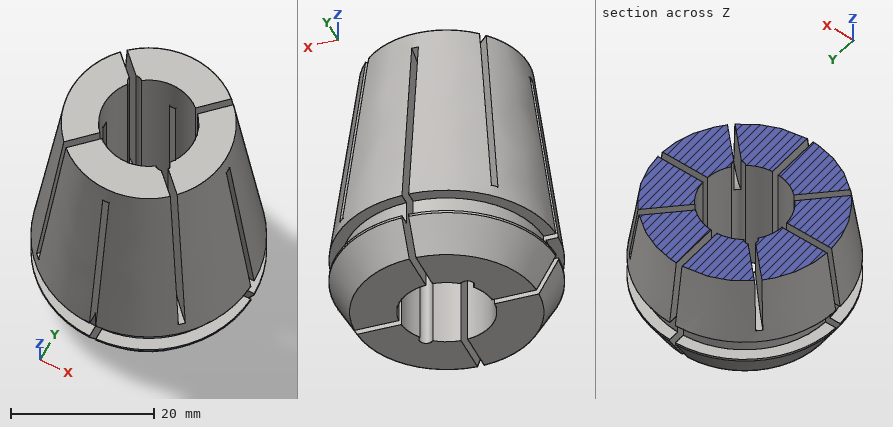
import cadquery as cq
import math

height = 40.0
max_diameter = 33.0
max_radius = max_diameter / 2
top_radius = 12.25
bottom_radius = 13.6
bore_radius = 7.0

groove_radius = 14.7
groove_bottom = 5.5
groove_top = 9.05
lip_bottom = 5.15

slot_width = 1.0
saw_radius = 13.2
saw_center_radius = 16.4
lower_slot_end = 37.8
upper_slot_end = 11.05
slot_inner_radius = 4.0
overrun = 2.0

notch_radius = 1.0
notch_center_radius = bore_radius
notch_angles = (135, 315)

quarter_turns = (0, 90, 180, 270)


def make_body():
    outline = [
        (bore_radius, 0),
        (bottom_radius, 0),
        (max_radius, lip_bottom),
        (max_radius, groove_bottom),
        (groove_radius, groove_bottom),
        (groove_radius, groove_top),
        (max_radius, groove_top),
        (top_radius, height),
        (bore_radius, height),
    ]
    return cq.Workplane("XZ").polyline(outline).close().revolve(360, (0, 0, 0), (0, 1, 0))


def make_slot(open_z, end_z, angle):
    """Radial slot open at open_z, ending in a saw arc tangent to end_z."""
    toward_opening = math.copysign(1, open_z - end_z)

    def arc_point(radius):
        rise = saw_radius - math.sqrt(saw_radius**2 - (saw_center_radius - radius) ** 2)
        return (radius, end_z + toward_opening * rise)

    arc_middle_radius = (slot_inner_radius + saw_center_radius) / 2
    outer = max_radius + overrun
    mouth_z = open_z + toward_opening * overrun
    slot = (
        cq.Workplane("XZ")
        .moveTo(slot_inner_radius, mouth_z)
        .lineTo(*arc_point(slot_inner_radius))
        .threePointArc(arc_point(arc_middle_radius), (saw_center_radius, end_z))
        .lineTo(outer, end_z)
        .lineTo(outer, mouth_z)
        .close()
        .extrude(slot_width / 2, both=True)
    )
    return slot.rotate((0, 0, 0), (0, 0, 1), angle)


def make_notch(angle):
    return (
        cq.Workplane("XY")
        .center(notch_center_radius, 0)
        .circle(notch_radius)
        .extrude(height)
        .rotate((0, 0, 0), (0, 0, 1), angle)
    )


result = make_body()

for turn in quarter_turns:
    result = result.cut(make_slot(0, lower_slot_end, turn))
    result = result.cut(make_slot(height, upper_slot_end, turn + 45))

for notch_angle in notch_angles:
    result = result.cut(make_notch(notch_angle))